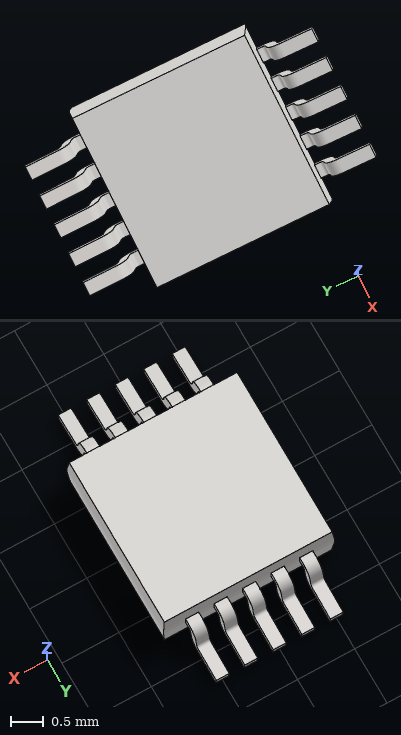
import cadquery as cq
import math

body_side = 3.0
overall_height = 0.97
upper_height = 0.32
lower_height = 0.415
taper_angle = 4.7

lead_span = 4.9
lead_count = 5
lead_pitch = 0.5
lead_width = 0.23
lead_thickness = 0.17
lead_embed = 0.1
shoulder_length = 0.085
inner_radius = 0.065
outer_radius = inner_radius + lead_thickness

shank_angle = math.radians(80)
foot_angle = math.radians(5)

band_top = overall_height - upper_height
band_bottom = band_top - lead_thickness


def make_body():
    """Square body tapering away from its middle band."""
    band = cq.Workplane("XY").workplane(offset=band_bottom).rect(body_side, body_side)
    band = band.extrude(lead_thickness)
    upper = cq.Workplane("XY").workplane(offset=band_top).rect(body_side, body_side)
    upper = upper.extrude(upper_height, taper=taper_angle)
    lower = cq.Workplane("XY").workplane(offset=band_bottom).rect(body_side, body_side)
    lower = lower.extrude(-lower_height, taper=taper_angle)
    return band.union(upper).union(lower)


def on_circle(center, radius, slope, side):
    """Point of a bend where the lead slopes down by slope; side is +1 for a crest, -1 for a hollow."""
    return (
        center[0] + side * radius * math.sin(slope),
        center[1] + side * radius * math.cos(slope),
    )


def make_lead():
    """Lead on the +Y side, centred on X = 0."""
    bend_start = body_side / 2 + shoulder_length
    upper_center = (bend_start, band_top - outer_radius)
    shank_top = on_circle(upper_center, outer_radius, shank_angle, 1)

    reach = lead_span / 2 - shank_top[0] - inner_radius * (math.sin(shank_angle) - math.sin(foot_angle))
    drop = (
        shank_top[1]
        - lead_thickness * math.cos(foot_angle)
        - inner_radius * (math.cos(foot_angle) - math.cos(shank_angle))
    )
    bend_sine = math.sin(shank_angle - foot_angle)
    shank_length = (drop * math.cos(foot_angle) - reach * math.sin(foot_angle)) / bend_sine
    foot_length = (reach * math.sin(shank_angle) - drop * math.cos(shank_angle)) / bend_sine

    lower_center = (
        shank_top[0] + shank_length * math.cos(shank_angle) + inner_radius * math.sin(shank_angle),
        shank_top[1] - shank_length * math.sin(shank_angle) + inner_radius * math.cos(shank_angle),
    )
    foot_run = foot_length * math.cos(foot_angle)
    foot_fall = foot_length * math.sin(foot_angle)
    upper_middle = shank_angle / 2
    lower_middle = (shank_angle + foot_angle) / 2
    foot_top = on_circle(lower_center, inner_radius, foot_angle, -1)
    foot_bottom = on_circle(lower_center, outer_radius, foot_angle, -1)
    root = body_side / 2 - lead_embed

    profile = (
        cq.Workplane("YZ")
        .workplane(offset=-lead_width / 2)
        .moveTo(root, band_top)
        .lineTo(bend_start, band_top)
        .threePointArc(on_circle(upper_center, outer_radius, upper_middle, 1), shank_top)
        .lineTo(*on_circle(lower_center, inner_radius, shank_angle, -1))
        .threePointArc(on_circle(lower_center, inner_radius, lower_middle, -1), foot_top)
        .lineTo(foot_top[0] + foot_run, foot_top[1] - foot_fall)
        .lineTo(foot_bottom[0] + foot_run, foot_bottom[1] - foot_fall)
        .lineTo(*foot_bottom)
        .threePointArc(
            on_circle(lower_center, outer_radius, lower_middle, -1),
            on_circle(lower_center, outer_radius, shank_angle, -1),
        )
        .lineTo(*on_circle(upper_center, inner_radius, shank_angle, 1))
        .threePointArc(
            on_circle(upper_center, inner_radius, upper_middle, 1),
            (bend_start, band_bottom),
        )
        .lineTo(root, band_bottom)
        .close()
    )
    return profile.extrude(lead_width)


result = make_body()
back_lead = make_lead()
front_lead = back_lead.mirror("XZ")
for index in range(lead_count):
    lead_x = (index - (lead_count - 1) / 2) * lead_pitch
    for lead in (back_lead, front_lead):
        result = result.union(lead.translate((lead_x, 0, 0)))